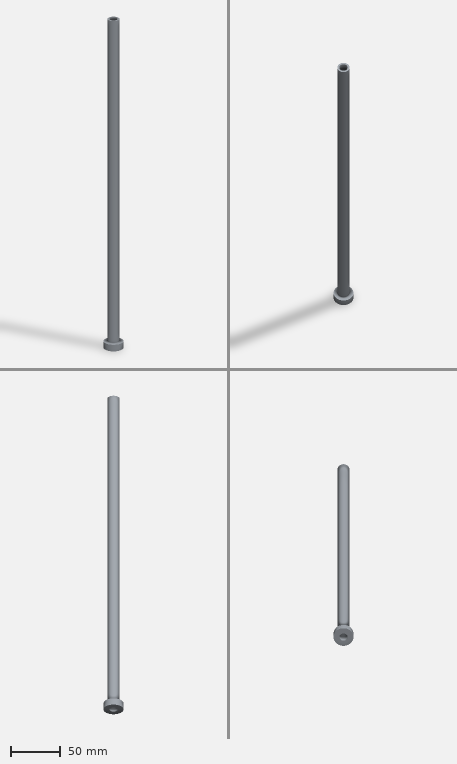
import cadquery as cq

total_length = 357.0
head_diameter = 20.0
head_height = 7.0
tube_diameter = 12.0
bore_diameter = 8.2
neck_fillet = 0.7

head = cq.Workplane("XY").circle(head_diameter / 2).extrude(head_height)
tube = cq.Workplane("XY").circle(tube_diameter / 2).extrude(total_length)
body = head.union(tube)

neck_edge = cq.selectors.RadiusNthSelector(0)
body = body.faces("<Z[1]").edges(neck_edge).fillet(neck_fillet)

bore = cq.Workplane("XY").circle(bore_diameter / 2).extrude(total_length)

result = body.cut(bore)